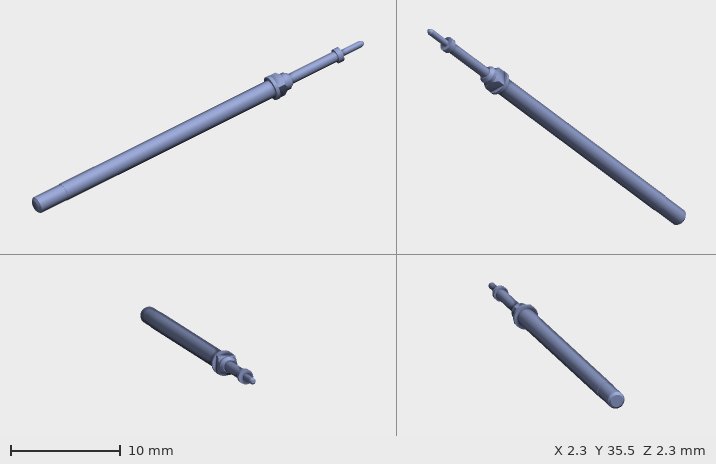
import cadquery as cq

total_length = 35.5
collar_front = 2.5
collar_back = 3.0
cone_front = 8.0
cone_back = 8.3
square_front = 8.7
flange_front = 9.7
flange_back = 10.0
tail_front = 32.5

pin_diameter = 0.6
pin_chamfer_radial = 0.15
pin_chamfer_length = 0.3
collar_diameter = 1.4
neck_diameter = 1.0
cone_front_diameter = 1.2
body_diameter = 1.67
flange_diameter = 2.3
tail_diameter = 1.6
tail_chamfer = 0.2

square_width = 1.65
square_corner_diameter = 2.27


def section(front, back, diameter):
    """Round length of the probe between two distances from the pin tip."""
    return (
        cq.Workplane("XZ", origin=(0, -front, 0))
        .circle(diameter / 2)
        .extrude(back - front)
    )


def cone(front, back, front_diameter, back_diameter):
    """Tapered length of the probe between two distances from the pin tip."""
    outline = [
        (0, -front),
        (front_diameter / 2, -front),
        (back_diameter / 2, -back),
        (0, -back),
    ]
    return cq.Workplane("XY").polyline(outline).close().revolve(360, (0, 0, 0), (0, 1, 0))


def contact_pin():
    pin = section(0, collar_front, pin_diameter)
    return pin.faces(">Y").chamfer(pin_chamfer_length, pin_chamfer_radial)


def wrench_square():
    """Square with truncated corners, chamfered conically at the front."""
    chamfer_length = (square_corner_diameter - body_diameter) / 2
    chamfer_back = square_front + chamfer_length
    blank = cone(square_front, chamfer_back, body_diameter, square_corner_diameter)
    blank = blank.union(section(chamfer_back, flange_front, square_corner_diameter))
    square = (
        cq.Workplane("XZ", origin=(0, -square_front, 0))
        .rect(square_width, square_width)
        .extrude(flange_front - square_front)
    )
    return blank.intersect(square)


def tail():
    end = section(tail_front, total_length, tail_diameter)
    return end.faces("<Y").chamfer(tail_chamfer)


result = (
    contact_pin()
    .union(section(collar_front, collar_back, collar_diameter))
    .union(section(collar_back, cone_front, neck_diameter))
    .union(cone(cone_front, cone_back, cone_front_diameter, body_diameter))
    .union(section(cone_back, square_front, body_diameter))
    .union(wrench_square())
    .union(section(flange_front, flange_back, flange_diameter))
    .union(section(flange_back, tail_front, body_diameter))
    .union(tail())
)